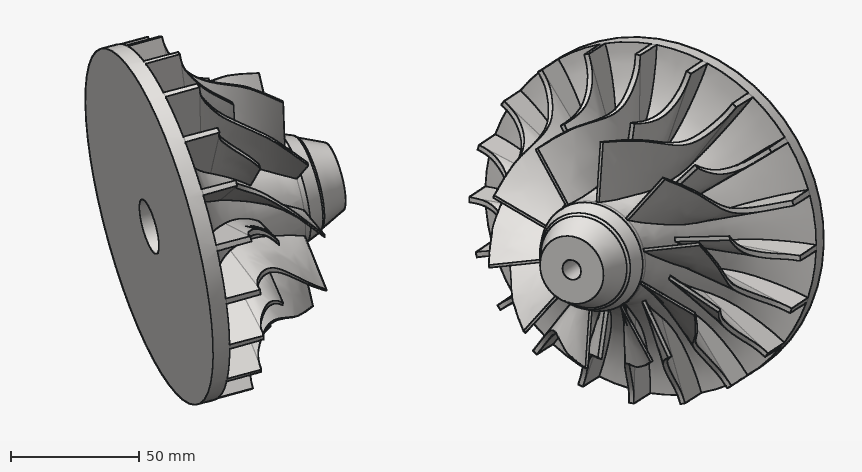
import cadquery as cq
import math


inward = (-1, 0)
outward = (1, 0)
upward = (0, 1)

wheel_radius = 72.0
disk_thickness = 6.9
inlet_height = 56.9
hub_inlet_radius = 22.2
hub_flow_points = [
    (57.6, 9.0),
    (45.4, 13.7),
    (36.0, 21.6),
    (30.7, 28.8),
    (25.9, 37.5),
    (23.5, 46.1),
]

collar_height = 59.0
collar_top_height = 65.1
collar_top_radius = 19.7
nose_base_height = 66.1
nose_base_radius = 18.7
nose_tip_radius = 13.8
nose_height = 76.8

blade_pairs = 10
blade_tip_height = 21.2
shroud_inlet_radius = 47.2
shroud_inlet_direction = (1, -6)
shroud_points = [
    (48.1, 51.8),
    (49.1, 46.8),
    (49.5, 41.0),
    (50.7, 35.4),
    (53.7, 30.2),
    (60.9, 24.5),
]
splitter_height = 37.5
blade_root_radius = 14.4
blade_overshoot = 2.9

foot_station = (disk_thickness, -1.1, 2.5)
bend_station = (blade_tip_height, -1.1, 2.2)
main_stations = [
    bend_station,
    (29.5, 0.7, 2.2),
    (34.5, 3.1, 1.9),
    (40.3, 8.2, 1.6),
    (48.2, 18.2, 1.3),
    (inlet_height, 32.0, 1.2),
]
splitter_stations = [
    bend_station,
    (29.5, 0.7, 2.2),
    (34.0, 4.2, 1.9),
    (splitter_height, 9.8, 1.7),
]

bore_diameter = 8.0
socket_diameter = 22.0
socket_depth = 9.0
neck_diameter = 11.1
cone_angle = 45


def revolve_about_y(outline):
    return outline.close().revolve(360, (0, 0, 0), (0, 1, 0))


def make_hub():
    """Back disk, concave flow surface, collar and conical nose, turned in one piece."""
    flow_line = hub_flow_points + [(hub_inlet_radius, inlet_height)]
    outline = (
        cq.Workplane("ZY")
        .lineTo(wheel_radius, 0)
        .lineTo(wheel_radius, disk_thickness)
        .spline(flow_line, tangents=[inward, upward], includeCurrent=True)
        .lineTo(hub_inlet_radius, collar_height)
        .lineTo(collar_top_radius, collar_top_height)
        .lineTo(nose_base_radius, nose_base_height)
        .lineTo(nose_tip_radius, nose_height)
        .lineTo(0, nose_height)
    )
    return revolve_about_y(outline)


def make_blade_envelope():
    """The turned space that the blades fill, bounded by the shroud line and the wheel rim."""
    shroud_line = shroud_points + [(wheel_radius, blade_tip_height)]
    outline = (
        cq.Workplane("ZY")
        .lineTo(0, inlet_height)
        .lineTo(shroud_inlet_radius, inlet_height)
        .spline(shroud_line, tangents=[shroud_inlet_direction, outward], includeCurrent=True)
        .lineTo(wheel_radius, 0)
    )
    return revolve_about_y(outline)


def edge_point(station, radius, side):
    """A point on one face of a blade; side is -1 or 1."""
    height, lean, thickness = station
    angle = math.radians(lean)
    offset = side * thickness / 2
    x = radius * math.sin(angle) + offset * math.cos(angle)
    z = radius * math.cos(angle) - offset * math.sin(angle)
    return cq.Vector(x, height, z)


def make_blade(stations):
    """A plate of radial lines: flat between foot and bend, twisted from the bend up."""
    tip_radius = wheel_radius + blade_overshoot
    corners = [(blade_root_radius, -1), (tip_radius, -1), (tip_radius, 1), (blade_root_radius, 1)]
    flat_edges = []
    twisted_edges = []
    for radius, side in corners:
        foot = edge_point(foot_station, radius, side)
        points = [edge_point(station, radius, side) for station in stations]
        flat_edges.append(cq.Edge.makeLine(foot, points[0]))
        twisted_edges.append(cq.Edge.makeSpline(points))

    faces = []
    for edges in (flat_edges, twisted_edges):
        for i in range(len(corners)):
            faces.append(cq.Face.makeRuledSurface(edges[i - 1], edges[i]))
    for end_points in (
        [edge.startPoint() for edge in flat_edges],
        [edge.endPoint() for edge in twisted_edges],
    ):
        faces.append(cq.Face.makeFromWires(cq.Wire.makePolygon(end_points, close=True)))
    return cq.Workplane(cq.Solid.makeSolid(cq.Shell.makeShell(faces)))


def make_bore():
    """A stepped bore: socket, cone, and a rounded throat running smoothly into the shaft hole."""
    slope = math.radians(cone_angle)
    cone_depth = (socket_diameter - neck_diameter) / 2 / math.tan(slope)
    throat_radius = (neck_diameter - bore_diameter) / 2 / (1 - math.cos(slope))
    cone_end = socket_depth + cone_depth
    throat_end = cone_end + throat_radius * math.sin(slope)
    outline = (
        cq.Workplane("ZY")
        .lineTo(socket_diameter / 2, 0)
        .lineTo(socket_diameter / 2, socket_depth)
        .lineTo(neck_diameter / 2, cone_end)
        .tangentArcPoint((bore_diameter / 2, throat_end), relative=False)
        .lineTo(bore_diameter / 2, nose_height)
        .lineTo(0, nose_height)
    )
    return revolve_about_y(outline)


envelope = make_blade_envelope()
main_blade = make_blade(main_stations).intersect(envelope)
splitter_blade = make_blade(splitter_stations).intersect(envelope)

pitch = 360 / blade_pairs
blades = []
for i in range(blade_pairs):
    blades.append(main_blade.rotate((0, 0, 0), (0, 1, 0), i * pitch).val())
    blades.append(splitter_blade.rotate((0, 0, 0), (0, 1, 0), (i + 0.5) * pitch).val())

hub = make_hub().cut(make_bore()).val()
result = cq.Workplane(hub.fuse(*blades))